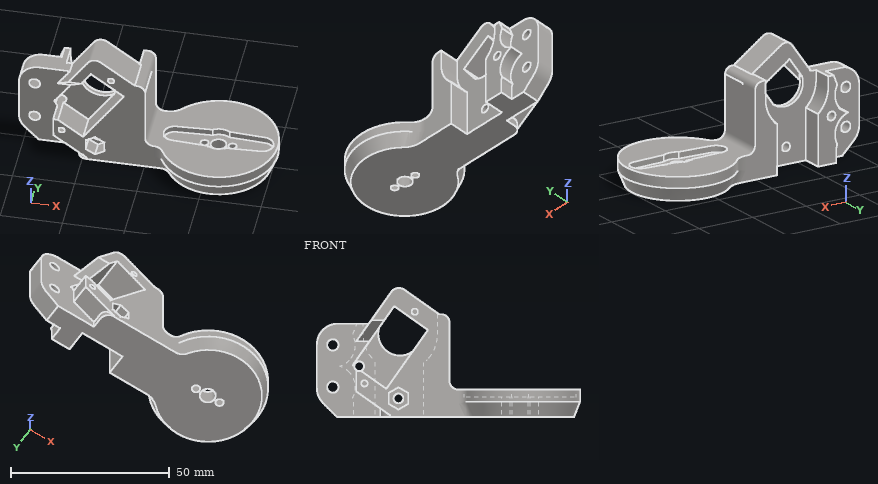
import cadquery as cq
import math

total_length = 83.2
front_y = -7.5
rear_y = 10.4

disc_radius = 19.0
disc_bottom_radius = 17.0
disc_height = 8.7
taper_height = 4.9
disc_x = total_length - disc_radius
front_neck_fillet = 3.2
rear_neck_fillet = 5.8

horn_x = 64.1
horn_depth = 2.25
horn_tip_radius = 3.5
horn_root_half_width = 4.1
horn_root_x = 2.75
horn_tip_x = 14.15
horn_hub_radius = 4.9
horn_hub_hole = 5.0
horn_screw_hole = 2.6
horn_screw_offset = 4.5

lean_angle = 54.8
wall_left_x = 12.4
wall_right_x = 41.95
wall_rear_y = 3.2
shoulder_height = 32.55
shoulder_radius = 2.7
root_radius = 2.75
frame_tip_radius = 3.0
pocket_x = 23.2
pocket_z = 22.0
pocket_length = 22.7
pocket_width = 13.0
pocket_floor_y = 1.3
side_margin = 3.4
underside_high_z = 30.6
end_margin = 6.2
foot_left_x = 20.1
foot_corner_radius = 3.2

ear_front_y = -0.8
ear_rear_y = 5.7
ear_height = 29.55
ear_corner_radius = 6.7
ear_chamfer_x = 6.4
ear_chamfer_z = 6.4
ear_hole_x = 5.1
ear_hole_low_z = 9.5
ear_hole_high_z = 22.8
ear_hole = 3.5

slot_left_x = 18.4
slot_right_x = 33.7
rear_rib_left_x = 11.6
rear_rib_top_x = 12.6
rear_rib_bevel_x = 11.2
rear_rib_bevel_height = 3.5
rear_rib_foot_height = 5.2
scallop_radius = 7.0
bore_x = 26.3
bore_z = 26.3
bore_radius = 6.8
rear_bore_radius = 11.7

bolt_hole = 3.0
bolt_x = 25.8
bolt_z = 5.9
nut_width = 6.1
nut_depth = 5.0
wire_hole_x = 13.4
wire_hole_z = 16.1
pilot_hole = 2.0
pilot_depth = 6.7
pilot_centers = [(31.0, 33.3), (15.1, 10.65)]

pick_gap = 0.1


def plane_at(y):
    """XZ sketch plane at the given Y; extrusion runs toward +Y and sketch axes are X and Z."""
    return cq.Workplane(cq.Plane(origin=(0, y, 0), xDir=(1, 0, 0), normal=(0, -1, 0)))


def prism(points, y_start, y_end):
    return plane_at(y_start).polyline(points).close().extrude(y_start - y_end)


def block(x_start, x_end, y_start, y_end, z_start, z_end):
    size = (x_end - x_start, y_end - y_start, z_end - z_start)
    return cq.Workplane("XY").box(*size, centered=False).translate((x_start, y_start, z_start))


def cylinder_y(x, z, radius, y_start, y_end):
    return plane_at(y_start).center(x, z).circle(radius).extrude(y_start - y_end)


def leaning_point(across, along):
    """Point in the frame axes: 'along' climbs to the right, 'across' is square to it."""
    angle = math.radians(lean_angle)
    x = pocket_x + along * math.cos(angle) + across * math.sin(angle)
    z = pocket_z + along * math.sin(angle) - across * math.cos(angle)
    return (x, z)


def leaning_box(left, right, low, high, y_start, y_end):
    corners = [(left, low), (right, low), (right, high), (left, high)]
    return prism([leaning_point(*corner) for corner in corners], y_start, y_end)


def make_base():
    rim = cq.Workplane("XY").workplane(offset=taper_height).circle(disc_radius)
    rim = rim.extrude(disc_height - taper_height)
    cone = cq.Workplane("XY").circle(disc_bottom_radius)
    cone = cone.workplane(offset=taper_height).circle(disc_radius).loft()
    neck = block(slot_right_x, disc_x, front_y, rear_y, 0, disc_height)
    base = rim.union(cone).translate((disc_x, 0, 0)).union(neck)
    for y, radius in ((front_y, front_neck_fillet), (rear_y, rear_neck_fillet)):
        corner = cq.selectors.BoxSelector((wall_right_x, y - pick_gap, pick_gap),
                                          (disc_x - disc_radius / 2, y + pick_gap, disc_height - pick_gap))
        base = base.edges(corner).fillet(radius)
    return base


def make_wall():
    half_length = pocket_length / 2 + end_margin
    left = -pocket_width / 2 - side_margin
    frame = leaning_box(left, wall_right_x, -half_length, half_length, front_y, wall_rear_y)
    tip_x, tip_z = leaning_point(left, half_length)
    tip = cq.selectors.BoxSelector((tip_x - pick_gap, front_y, tip_z - pick_gap),
                                   (tip_x + pick_gap, rear_y, tip_z + pick_gap))
    frame = frame.edges(tip).fillet(frame_tip_radius)
    frame = frame.intersect(block(wall_left_x, wall_right_x, front_y, wall_rear_y, 0, total_length))
    foot = block(foot_left_x, wall_right_x, front_y, wall_rear_y, 0, bolt_z)
    foot = foot.edges("|Z and <X and <Y").fillet(foot_corner_radius)
    column = block(slot_right_x, wall_right_x, front_y, rear_y, 0, shoulder_height)
    column = column.edges("|Y and >X and >Z").fillet(shoulder_radius)
    return frame.union(foot).union(column)


def make_root_fillet():
    corner = block(wall_right_x, wall_right_x + root_radius, front_y, rear_y,
                   disc_height, disc_height + root_radius)
    return corner.cut(cylinder_y(wall_right_x + root_radius, disc_height + root_radius,
                                 root_radius, front_y, rear_y))


def make_ear():
    outline = [(ear_chamfer_x, 0), (slot_right_x, 0), (slot_right_x, ear_height),
               (0, ear_height), (0, ear_chamfer_z)]
    ear = prism(outline, ear_front_y, ear_rear_y)
    ear = ear.edges("|Y and <X and >Z").fillet(ear_corner_radius)
    low_corner = cq.selectors.BoxSelector((-pick_gap, ear_front_y, ear_chamfer_z - pick_gap),
                                          (pick_gap, rear_y, ear_chamfer_z + pick_gap))
    return ear.edges(low_corner).fillet(ear_corner_radius)


def make_rear_rib():
    scallop_high_z = ear_height - rear_rib_bevel_height
    scallop_low_z = ear_hole_low_z + ear_hole_high_z - scallop_high_z
    outline = [(rear_rib_left_x, 0), (slot_left_x, 0), (slot_left_x, ear_height),
               (rear_rib_top_x, ear_height), (rear_rib_bevel_x, scallop_high_z),
               (ear_hole_x, scallop_high_z), (ear_hole_x, scallop_low_z),
               (rear_rib_bevel_x, scallop_low_z), (rear_rib_left_x, rear_rib_foot_height)]
    rib = prism(outline, ear_rear_y, rear_y)
    for z in (ear_hole_low_z, ear_hole_high_z):
        rib = rib.cut(cylinder_y(ear_hole_x, z, scallop_radius, ear_rear_y, rear_y))
    return rib


def cut_rear(body):
    body = body.cut(block(slot_left_x, slot_right_x, wall_rear_y, rear_y, 0, total_length))
    body = body.cut(cylinder_y(bore_x, bore_z, rear_bore_radius, wall_rear_y, rear_y))
    return body.cut(block(bore_x - rear_bore_radius, bore_x + rear_bore_radius,
                          wall_rear_y, rear_y, bore_z, total_length))


def cut_motor_pocket(body):
    half_width = pocket_width / 2
    half_length = pocket_length / 2
    body = body.cut(leaning_box(-half_width, half_width, -half_length, half_length, front_y, pocket_floor_y))
    underside_low_z = underside_high_z - (ear_front_y - front_y)
    side = leaning_box(-pocket_width, 0, -half_length, half_length, front_y, ear_front_y)
    below = cq.Workplane("YZ").polyline([
        (front_y, 0), (ear_front_y, 0), (ear_front_y, underside_low_z), (front_y, underside_high_z),
    ]).close().extrude(total_length)
    body = body.cut(side.intersect(below))
    angle = math.radians(lean_angle)
    bore_along = (bore_x - pocket_x) * math.cos(angle) + (bore_z - pocket_z) * math.sin(angle)
    bore = cylinder_y(bore_x, bore_z, bore_radius, front_y, wall_rear_y)
    bore = bore.union(leaning_box(-half_width, half_width, bore_along, half_length, front_y, wall_rear_y))
    pocket_column = leaning_box(-half_width, half_width, -half_length, half_length, front_y, wall_rear_y)
    return body.cut(bore.intersect(pocket_column))


def cut_fasteners(body):
    through = [(bolt_x, bolt_z, bolt_hole), (wire_hole_x, wire_hole_z, bolt_hole),
               (ear_hole_x, ear_hole_low_z, ear_hole), (ear_hole_x, ear_hole_high_z, ear_hole)]
    for x, z, diameter in through:
        body = body.cut(cylinder_y(x, z, diameter / 2, front_y, rear_y))
    for x, z in pilot_centers:
        body = body.cut(cylinder_y(x, z, pilot_hole / 2, front_y, front_y + pilot_depth))
    nut_radius = nut_width / math.sqrt(3)
    nut_angles = [math.radians(30 + 60 * side) for side in range(6)]
    nut = [(bolt_x + nut_radius * math.cos(a), bolt_z + nut_radius * math.sin(a)) for a in nut_angles]
    return body.cut(prism(nut, front_y, front_y + nut_depth))


def cut_horn_recess(body):
    top = cq.Workplane("XY", origin=(horn_x, 0, disc_height))
    arms = (top.moveTo(horn_tip_x, horn_tip_radius)
            .threePointArc((horn_tip_x + horn_tip_radius, 0), (horn_tip_x, -horn_tip_radius))
            .lineTo(horn_root_x, -horn_root_half_width)
            .lineTo(-horn_root_x, -horn_root_half_width)
            .lineTo(-horn_tip_x, -horn_tip_radius)
            .threePointArc((-horn_tip_x - horn_tip_radius, 0), (-horn_tip_x, horn_tip_radius))
            .lineTo(-horn_root_x, horn_root_half_width)
            .lineTo(horn_root_x, horn_root_half_width)
            .close().extrude(-horn_depth))
    hub = top.circle(horn_hub_radius).extrude(-horn_depth)
    hub_hole = top.circle(horn_hub_hole / 2).extrude(-disc_height)
    screw_centers = [(-horn_screw_offset, 0), (horn_screw_offset, 0)]
    screws = top.pushPoints(screw_centers).circle(horn_screw_hole / 2).extrude(-disc_height)
    return body.cut(arms).cut(hub).cut(hub_hole).cut(screws)


body = make_base().union(make_wall()).union(make_root_fillet())
body = body.union(make_ear()).union(make_rear_rib())
body = cut_rear(body)
body = cut_motor_pocket(body)
body = cut_fasteners(body)
result = cut_horn_recess(body)